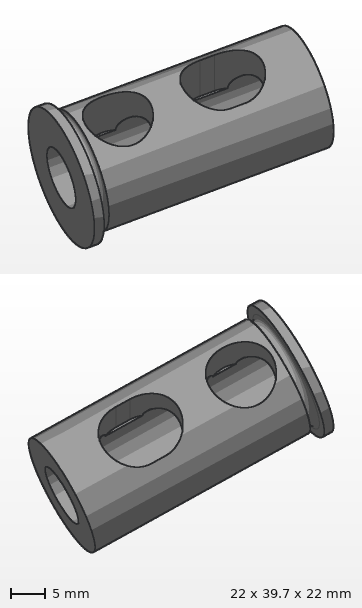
import cadquery as cq
import math

length = 39.7
flange_diameter = 22.0
flange_thickness = 1.6
body_diameter = 19.05
bore_diameter = 9.53

groove_radius = 0.75

opening_width = 10.3
round_opening_y = 9.2
slot_y = 26.27
slot_length = 12.7
opening_floor_z = 0.0


def make_sleeve():
    """Revolve the flange, half-round groove and body about Y."""
    body_radius = body_diameter / 2
    flange_radius = flange_diameter / 2
    bore_radius = bore_diameter / 2
    floor_radius = body_radius - groove_radius
    groove_y = flange_thickness + groove_radius
    body_start = groove_y + groove_radius
    diagonal = groove_radius * math.sqrt(0.5)
    arc_radius = body_radius - diagonal

    profile = (
        cq.Workplane("XY")
        .moveTo(bore_radius, 0)
        .lineTo(flange_radius, 0)
        .lineTo(flange_radius, flange_thickness)
        .lineTo(body_radius, flange_thickness)
        .threePointArc((arc_radius, groove_y - diagonal), (floor_radius, groove_y))
        .threePointArc((arc_radius, groove_y + diagonal), (body_radius, body_start))
        .lineTo(body_radius, length)
        .lineTo(bore_radius, length)
        .close()
    )
    return profile.revolve(360, (0, 0, 0), (0, 1, 0))


def make_openings():
    """Round opening near the flange and a slot farther along the body."""
    floor = cq.Workplane("XY").workplane(offset=opening_floor_z)
    round_opening = floor.center(0, round_opening_y).circle(opening_width / 2).extrude(body_diameter)
    slot = floor.center(0, slot_y).slot2D(slot_length, opening_width, 90).extrude(body_diameter)
    return round_opening.union(slot)


result = make_sleeve().cut(make_openings())